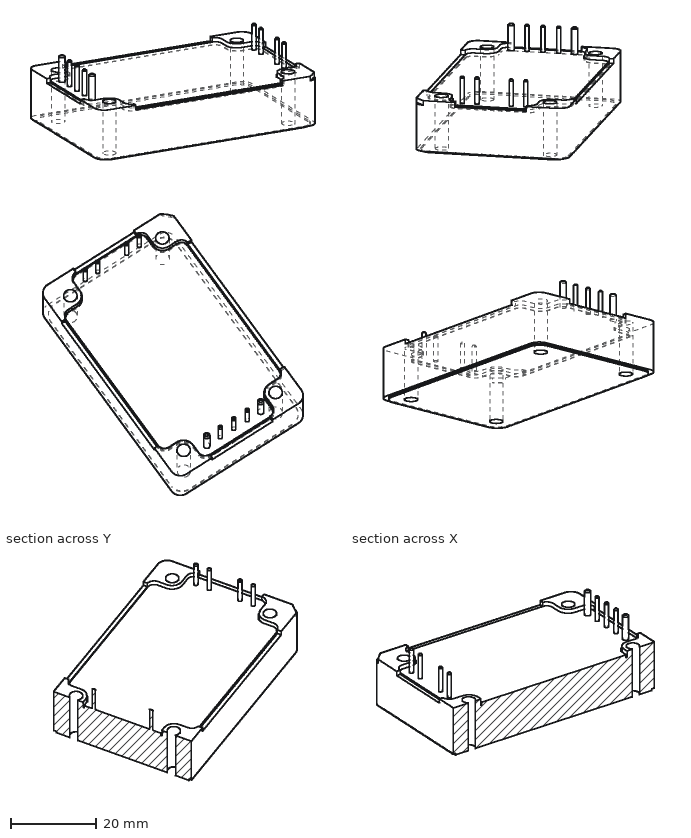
import cadquery as cq

LENGTH = 57.9
WIDTH = 36.8
TOTAL_HEIGHT = 18.2
CASE_TOP = 12.7
CASE_CORNER_RADIUS = 2.5

PLATE_THICKNESS = 0.4
PLATE_INSET = 0.7
PLATE_CORNER_RADIUS = 3.1

HOLE_DIAMETER = 3.1
HOLE_X = 13.05
HOLE_Y = 23.6

POCKET_HALF_WIDTH = 17.3
POCKET_HALF_LENGTH = 27.9
NECK_HALF_WIDTH = 10.5
SHOULDER_Y = 21.0
OUTER_CORNER_RADIUS = 1.9
INNER_CORNER_RADIUS = 2.6
LID_GAP = 0.25
LID_TOP = 11.75
GAP_FLOOR = 11.0

END_OPENING = 2 * (NECK_HALF_WIDTH - OUTER_CORNER_RADIUS)
SIDE_OPENING = 38.7
OPENING_DEPTH = 1.1

FLAT_LEG = 2.2
FLAT_DEPTH = OPENING_DEPTH

SMALL_PIN_DIAMETER = 1.0
SMALL_PIN_TIP = 0.4
LARGE_PIN_DIAMETER = 1.5
LARGE_PIN_TIP = 0.7
PIN_TIP_HEIGHT = 0.35
PIN_ROW_Y = 25.35
OUTER_PIN_X = 7.65
BACK_INNER_PIN_X = 4.1
FRONT_INNER_PIN_X = OUTER_PIN_X / 2

QUADRANTS = [(sx, sy) for sx in (-1, 1) for sy in (-1, 1)]


def rounded_block(width, length, bottom, top, radius):
    """Centred block with rounded vertical edges."""
    block = cq.Workplane("XY").workplane(offset=bottom).rect(width, length).extrude(top - bottom)
    return block.edges("|Z").fillet(radius)


def cross_block(inset, bottom, top):
    """Rounded cross shape of the pocket, shrunk evenly by the inset."""
    height = top - bottom
    base = cq.Workplane("XY").workplane(offset=bottom)
    body = base.rect(2 * (POCKET_HALF_WIDTH - inset), 2 * (SHOULDER_Y - inset)).extrude(height)
    neck = base.rect(2 * (NECK_HALF_WIDTH - inset), 2 * (POCKET_HALF_LENGTH - inset)).extrude(height)
    cross = body.union(neck)
    middle = (bottom + top) / 2
    corner_groups = (
        (NECK_HALF_WIDTH, SHOULDER_Y, INNER_CORNER_RADIUS + inset),
        (POCKET_HALF_WIDTH, SHOULDER_Y, OUTER_CORNER_RADIUS - inset),
        (NECK_HALF_WIDTH, POCKET_HALF_LENGTH, OUTER_CORNER_RADIUS - inset),
    )
    for x, y, radius in corner_groups:
        for sx, sy in QUADRANTS:
            corner = (sx * (x - inset), sy * (y - inset), middle)
            cross = cross.edges(cq.selectors.NearestToPointSelector(corner)).fillet(radius)
    return cross


def corner_flat():
    """Prism that trims the rounded +X +Y corner to a straight edge at the top."""
    x = WIDTH / 2
    y = LENGTH / 2
    corner = [(x, y), (x - FLAT_LEG, y), (x, y - FLAT_LEG)]
    base = cq.Workplane("XY").workplane(offset=CASE_TOP - FLAT_DEPTH)
    return base.polyline(corner).close().extrude(FLAT_DEPTH)


def pin(x, y, diameter, tip_diameter):
    """Round pin rooted in the lid, with a tapered tip."""
    radius = diameter / 2
    tip_radius = tip_diameter / 2
    taper_start = TOTAL_HEIGHT - PIN_TIP_HEIGHT
    profile = [
        (0, GAP_FLOOR),
        (radius, GAP_FLOOR),
        (radius, taper_start),
        (tip_radius, TOTAL_HEIGHT),
        (0, TOTAL_HEIGHT),
    ]
    return cq.Workplane("XZ").polyline(profile).close().revolve(360, (0, 0), (0, 1)).translate((x, y, 0))


case = rounded_block(WIDTH, LENGTH, PLATE_THICKNESS, CASE_TOP, CASE_CORNER_RADIUS)
plate = rounded_block(
    WIDTH - 2 * PLATE_INSET, LENGTH - 2 * PLATE_INSET, 0, PLATE_THICKNESS, PLATE_CORNER_RADIUS
)
result = case.union(plate)

openings = cq.Workplane("XY").workplane(offset=CASE_TOP - OPENING_DEPTH)
result = result.cut(openings.rect(END_OPENING, LENGTH).extrude(OPENING_DEPTH))
result = result.cut(openings.rect(WIDTH, SIDE_OPENING).extrude(OPENING_DEPTH))
result = result.cut(cross_block(0, GAP_FLOOR, CASE_TOP))
result = result.union(cross_block(LID_GAP, GAP_FLOOR, LID_TOP))

result = result.cut(corner_flat())
hole_centers = [(sx * HOLE_X, sy * HOLE_Y) for sx, sy in QUADRANTS]
result = result.cut(cq.Workplane("XY").pushPoints(hole_centers).circle(HOLE_DIAMETER / 2).extrude(CASE_TOP))

for x in (-OUTER_PIN_X, -BACK_INNER_PIN_X, BACK_INNER_PIN_X, OUTER_PIN_X):
    result = result.union(pin(x, PIN_ROW_Y, SMALL_PIN_DIAMETER, SMALL_PIN_TIP))
for x in (-FRONT_INNER_PIN_X, 0, FRONT_INNER_PIN_X):
    result = result.union(pin(x, -PIN_ROW_Y, SMALL_PIN_DIAMETER, SMALL_PIN_TIP))
for x in (-OUTER_PIN_X, OUTER_PIN_X):
    result = result.union(pin(x, -PIN_ROW_Y, LARGE_PIN_DIAMETER, LARGE_PIN_TIP))